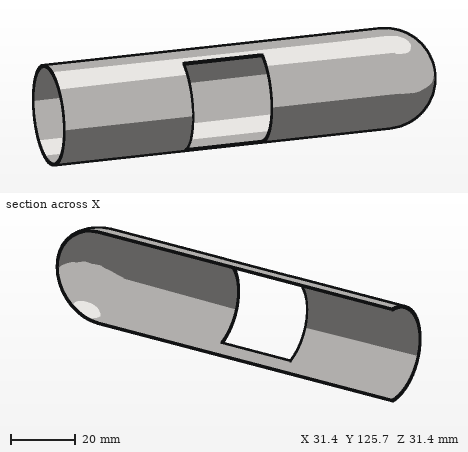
import cadquery as cq

total_length = 125.7
outer_diameter = 31.4
inner_diameter = 30.3

window_length = 25.8
window_floor_x = 5.9

outer_radius = outer_diameter / 2
inner_radius = inner_diameter / 2
straight_length = total_length - outer_radius


def round_ended_rod(radius):
    """Solid rod from Y = 0 with a hemispherical end, revolved about Y."""
    diagonal = radius * 0.5 ** 0.5
    return (
        cq.Workplane("XY")
        .lineTo(radius, 0)
        .lineTo(radius, straight_length)
        .threePointArc((diagonal, straight_length + diagonal), (0, straight_length + radius))
        .close()
        .revolve(360, (0, 0, 0), (0, 1, 0))
    )


def window_cutter():
    """Block that removes the tube wall beyond the window floor."""
    return (
        cq.Workplane("XY")
        .box(outer_diameter, window_length, outer_diameter, centered=(False, True, True))
        .translate((window_floor_x, straight_length / 2, 0))
    )


shell = round_ended_rod(outer_radius).cut(round_ended_rod(inner_radius))
result = shell.cut(window_cutter())